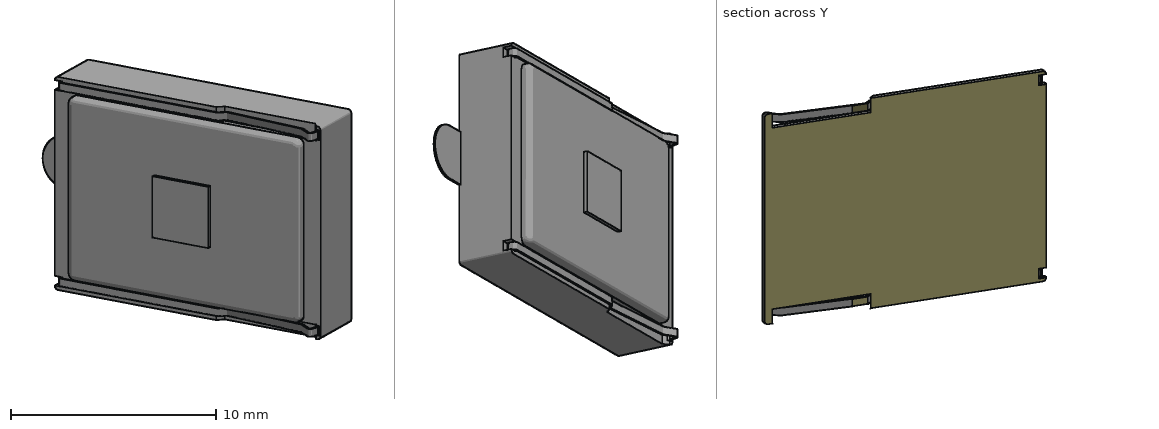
import cadquery as cq
import math


housing_length = 15.0
housing_height = 11.0
housing_depth = 3.0
housing_corner_radius = 0.2

panel_length = 13.13
panel_height = 9.47
panel_rise = 0.5
panel_corner_radius = 0.36
panel_edge_radius = 0.3
pad_side = 3.16
pad_rise = 0.2

tab_radius = 1.38
tab_straight = 1.0
tab_thickness = 0.1

strip_thickness = 0.1
strip_width = 0.4
bend_radius = 0.11
spring_offset = 5.05

recess_depth = 0.3
recess_start = 1.62
recess_end = 7.26
recess_floor_start = recess_start + recess_depth
recess_floor_end = 7.02
recess_inner_edge = 4.75

notch_width = 0.5
foot_notch_length = 0.4
foot_notch_depth = 0.48
tip_notch_end = 7.42
tip_notch_length = 0.4
tip_notch_slope = 23.0

leg_inset = 0.22
foot_depth = 0.39
jog_start = 1.72
jog_end = 2.06
dip_start = 6.49
dip_slope = 34.0
hook_slope = 76.0
tip_x = 7.31

housing_end = housing_length / 2
foot_notch_end = foot_notch_length - housing_end


def prism(profile, z_low, z_high):
    """Extrude a closed X-Y outline between two heights."""
    return cq.Workplane("XY").workplane(offset=z_low).polyline(profile).close().extrude(z_high - z_low)


def make_spring_clearance():
    """Material removed from the housing for the upper spring."""
    recess = prism(
        [
            (recess_start, 0),
            (recess_floor_start, recess_depth),
            (recess_floor_end, recess_depth),
            (recess_end, 0),
        ],
        recess_inner_edge,
        housing_height / 2,
    )
    notch_low = spring_offset - notch_width / 2
    notch_high = spring_offset + notch_width / 2
    foot_notch = prism(
        [
            (-housing_end, 0),
            (-housing_end, foot_notch_depth),
            (foot_notch_end, foot_notch_depth),
            (foot_notch_end, 0),
        ],
        notch_low,
        notch_high,
    )
    tip_notch_start = tip_notch_end - tip_notch_length
    tip_notch_depth = tip_notch_length * math.tan(math.radians(tip_notch_slope))
    tip_notch = prism(
        [(tip_notch_start, 0), (tip_notch_start, tip_notch_depth), (tip_notch_end, 0)],
        notch_low,
        notch_high,
    )
    return recess.union(foot_notch).union(tip_notch)


def make_housing():
    """Box with the raised panel and pad on its front, cut away for both springs."""
    body = (
        cq.Workplane("XY")
        .box(housing_length, housing_depth, housing_height, centered=(True, False, True))
        .edges("|Y")
        .fillet(housing_corner_radius)
    )
    panel = (
        cq.Workplane("XZ")
        .rect(panel_length, panel_height)
        .extrude(panel_rise)
        .edges("|Y")
        .fillet(panel_corner_radius)
        .faces("<Y")
        .edges()
        .fillet(panel_edge_radius)
    )
    pad = cq.Workplane("XZ", origin=(0, -panel_rise, 0)).rect(pad_side, pad_side).extrude(pad_rise)
    clearance = make_spring_clearance()
    return body.cut(clearance).cut(clearance.mirror("XY")).union(panel).union(pad)


def make_tab():
    """Thin round-ended tab, flush with the back of the housing and touching its end face."""
    round_start = -housing_end - tab_straight
    return (
        cq.Workplane("XZ", origin=(0, housing_depth, 0))
        .moveTo(-housing_end, tab_radius)
        .lineTo(round_start, tab_radius)
        .threePointArc((round_start - tab_radius, 0), (round_start, -tab_radius))
        .lineTo(-housing_end, -tab_radius)
        .close()
        .extrude(tab_thickness)
    )


def make_spring(z_middle):
    """Strip with a foot in the housing, a flat run, a raised arm and a hook at its free end."""
    half = strip_thickness / 2
    leg_x = -housing_end + leg_inset + half
    foot_y = foot_depth - half
    run_y = -half
    arm_y = recess_depth - half
    dip_fall = math.tan(math.radians(dip_slope))
    hook_rise = math.tan(math.radians(hook_slope))
    hook_x = (run_y + dip_fall * dip_start + hook_rise * tip_x) / (dip_fall + hook_rise)
    hook_y = hook_rise * (hook_x - tip_x)
    path_points = [
        (foot_notch_end, foot_y),
        (leg_x, foot_y),
        (leg_x, run_y),
        (jog_start, run_y),
        (jog_end, arm_y),
        (dip_start, run_y),
        (hook_x, hook_y),
        (tip_x, 0),
    ]
    corners = [cq.Vector(x, y, z_middle) for x, y in path_points]
    path = cq.Wire.makePolygon(corners).fillet(bend_radius)
    return (
        cq.Workplane("YZ", origin=(foot_notch_end, foot_y, z_middle))
        .rect(strip_thickness, strip_width)
        .sweep(cq.Workplane(path))
    )


housing = make_housing()
tab = make_tab()
springs = [make_spring(side * spring_offset) for side in (1, -1)]

result = cq.Compound.makeCompound([housing.val(), tab.val(), *[spring.val() for spring in springs]])